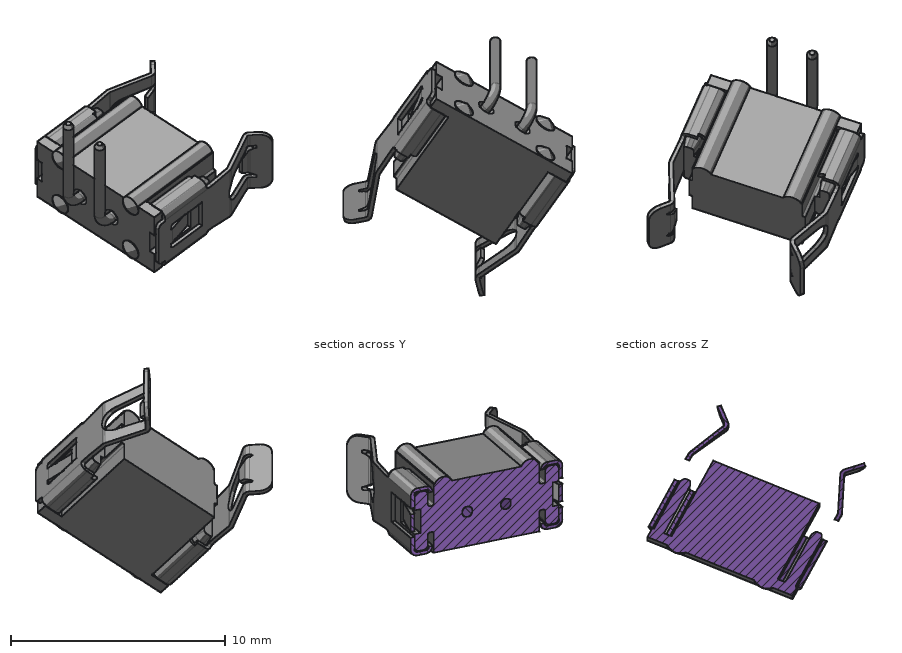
import cadquery as cq
import math


body_half_width = 2.75
body_depth = 5.1
body_height = 3.54
mid_z = body_height / 2
flange_half_width = 3.75
flange_depth = 0.55

rod_radius = 0.5
rod_x = 2.25
rod_z_low = rod_radius
rod_z_high = 3.33
rod_overhang = 0.04
nose_half_angle = 60.0
nose_length = rod_radius / math.tan(math.radians(nose_half_angle))

lug_inner = 3.03
lug_half_height = 1.52
lug_corner_radius = 0.255
lug_taper_start = 3.385
lug_end = 3.88
lug_taper_angle = 13.5
neck_half_height = 0.68
neck_fillet = 0.09
rail_outer = 2.9
pocket_depth = 0.31
pocket_half_height = 0.6
pocket_end = 2.48

pin_diameter = 0.5
pin_radius = pin_diameter / 2
pin_pitch = 2.0
pin_front = -1.05
pin_y = pin_front + pin_radius
pin_top = 7.05
pin_bend_radius = 0.75
pin_insertion = 2.55
pin_tip_length = 0.2
pin_tip_radius = pin_radius / 2
countersink_radius = 0.41
countersink_depth = countersink_radius - pin_radius

sheet = 0.2
clip_outer = flange_half_width + sheet
clip_front = 0.09
clip_back = 8.05
bend_radius = 0.4
front_tab_half_height = 1.27
front_tab_radius = 0.24
front_notch_radius = 0.06
wrap_half_height = 1.74
wrap_radius = 0.36
wrap_front = flange_depth
wrap_back = 3.385
curl_back = 3.185
wrap_notch_radius = 0.13
curl_u = 3.16

arm_angle = 22.5
flare_angle = 45.0
waist_y = 7.05
waist_outer = 3.11
waist_radius = 0.15
waist_half_height = 1.71
arm_root_y = 3.73
arm_root_half_height = 1.365
end_corner_radius = 0.6

opening_round_radius = 0.83
opening_round_y = 5.73
slot_end_y = 7.39
slot_end_outer = 1.03
slot_end_inner = 0.855
tongue_tip_y = 6.68
tongue_tip_half_height = 0.46

window_front = 0.94
window_back = 3.05
window_half_height = 0.755
window_corner_radius = 0.14
tang_tip_y = 2.41
tang_root_length = 0.07
tang_half_height = 0.455
tang_tip_inner = flange_half_width - pocket_depth


def section_plane(y):
    """Plane at depth y, drawn in (u, Z) and extruded toward +Y."""
    return cq.Workplane(cq.Plane(origin=(0, y, 0), xDir=(-1, 0, 0), normal=(0, 1, 0)))


def centred_block(u0, u1, y0, y1, half_height):
    """Box from u0 to u1 and y0 to y1, centred on mid_z."""
    return (
        cq.Workplane("XY")
        .box(u1 - u0, y1 - y0, 2 * half_height)
        .translate((-(u0 + u1) / 2, (y0 + y1) / 2, mid_z))
    )


def both_ends(shape):
    """A left-end shape and its mirror image on the right end."""
    return [shape, shape.mirror("YZ")]


def rod(x, z):
    """Round rod with a conical nose, turned about its own axis."""
    return (
        cq.Workplane("XY")
        .moveTo(0, body_depth)
        .lineTo(rod_radius, body_depth)
        .lineTo(rod_radius, -rod_overhang)
        .lineTo(0, -rod_overhang - nose_length)
        .close()
        .revolve(360, (0, 0), (0, 1))
        .translate((x, 0, z))
    )


def lug():
    """Rounded bar with a tapered back end."""
    width = flange_half_width - lug_inner
    centre_u = (flange_half_width + lug_inner) / 2

    def outline(y):
        bar = cq.Sketch().rect(width, 2 * lug_half_height).vertices().fillet(lug_corner_radius)
        return section_plane(y).center(centre_u, mid_z).placeSketch(bar)

    straight = outline(flange_depth).extrude(lug_taper_start - flange_depth)
    lead_in = outline(lug_taper_start).extrude(lug_end - lug_taper_start, taper=lug_taper_angle)
    return straight.union(lead_in)


def neck():
    """Web from the body to the lug, with rounded inside corners at both ends."""
    top = mid_z + neck_half_height
    low = mid_z - neck_half_height
    body_u = body_half_width
    lug_u = lug_inner
    r = neck_fillet
    return (
        section_plane(flange_depth)
        .moveTo(body_u, low - r)
        .lineTo(body_u, top + r)
        .radiusArc((body_u + r, top), -r)
        .lineTo(lug_u - r, top)
        .radiusArc((lug_u, top + r), -r)
        .lineTo(lug_u + lug_corner_radius, top + r)
        .lineTo(lug_u + lug_corner_radius, low - r)
        .lineTo(lug_u, low - r)
        .radiusArc((lug_u - r, low), -r)
        .lineTo(body_u + r, low)
        .radiusArc((body_u, low - r), -r)
        .close()
        .extrude(lug_end - flange_depth)
    )


def rail():
    """Low rail that carries the neck on to the back of the body."""
    top = mid_z + neck_half_height
    low = mid_z - neck_half_height
    r = neck_fillet
    return (
        section_plane(lug_end)
        .moveTo(body_half_width, low - r)
        .lineTo(body_half_width, top + r)
        .radiusArc((body_half_width + r, top), -r)
        .lineTo(rail_outer, top)
        .lineTo(rail_outer, low)
        .lineTo(body_half_width + r, low)
        .radiusArc((body_half_width, low - r), -r)
        .close()
        .extrude(body_depth - lug_end)
    )


def pin_hole(x):
    """Blind pin hole with a countersunk mouth."""
    return (
        cq.Workplane("XY")
        .lineTo(countersink_radius, 0)
        .lineTo(pin_radius, countersink_depth)
        .lineTo(pin_radius, pin_insertion)
        .lineTo(0, pin_insertion)
        .close()
        .revolve(360, (0, 0), (0, 1))
        .translate((x, 0, mid_z))
    )


def make_housing():
    body = centred_block(-body_half_width, body_half_width, 0, body_depth, mid_z)
    body = body.union(centred_block(-flange_half_width, flange_half_width, 0, flange_depth, mid_z))
    for x in (-rod_x, rod_x):
        for z in (rod_z_low, rod_z_high):
            body = body.union(rod(x, z))
    for feature in (lug(), neck(), rail()):
        for copy in both_ends(feature):
            body = body.union(copy)
    pocket = centred_block(
        flange_half_width - pocket_depth, flange_half_width, 0, pocket_end, pocket_half_height
    )
    for copy in both_ends(pocket):
        body = body.cut(copy)
    for x in pin_positions:
        body = body.cut(pin_hole(x))
    return body


def make_pin(x):
    """Round wire bent up through 90 degrees, with a tapered tip."""
    bend_y = pin_y + pin_bend_radius
    bend_z = mid_z + pin_bend_radius
    bend_offset = pin_bend_radius * math.sin(math.radians(45))
    path = (
        cq.Workplane("YZ")
        .moveTo(pin_insertion, mid_z)
        .lineTo(bend_y, mid_z)
        .threePointArc((bend_y - bend_offset, bend_z - bend_offset), (pin_y, bend_z))
        .lineTo(pin_y, pin_top - pin_tip_length)
    )
    wire = section_plane(pin_insertion).center(0, mid_z).circle(pin_radius).sweep(path)
    tip = (
        cq.Workplane("XY", origin=(0, pin_y, pin_top - pin_tip_length))
        .circle(pin_radius)
        .workplane(offset=pin_tip_length)
        .circle(pin_tip_radius)
        .loft()
    )
    return wire.union(tip).translate((x, 0, 0))


def clip_strip():
    """Side plate and arm as one bent strip of sheet, at full height."""

    def waist_point(radius, angle):
        """Point on the rounded waist; angle 0 faces the middle of the part."""
        turn = math.radians(angle)
        u = waist_outer + waist_radius - radius * math.cos(turn)
        return (-u, waist_y + radius * math.sin(turn))

    inner_radius = waist_radius + sheet
    middle_angle = (flare_angle - arm_angle) / 2
    arm_tan = math.tan(math.radians(arm_angle))
    arm_x, arm_y = waist_point(waist_radius, -arm_angle)
    flare_x, flare_start_y = waist_point(waist_radius, flare_angle)
    end_dx = sheet * math.cos(math.radians(flare_angle))
    end_dy = sheet * math.sin(math.radians(flare_angle))
    end_y = clip_back - end_dy
    end_x = flare_x - (end_y - flare_start_y) * math.tan(math.radians(flare_angle))
    outer_bend_y = arm_y - (clip_outer + arm_x) / arm_tan
    inner_bend_y = outer_bend_y - sheet * math.tan(math.radians(arm_angle / 2))
    strip = (
        cq.Workplane("XY")
        .moveTo(-clip_outer, clip_front)
        .lineTo(-clip_outer, outer_bend_y)
        .lineTo(arm_x, arm_y)
        .threePointArc(waist_point(waist_radius, middle_angle), (flare_x, flare_start_y))
        .lineTo(end_x, end_y)
        .lineTo(end_x + end_dx, clip_back)
        .lineTo(*waist_point(inner_radius, flare_angle))
        .threePointArc(
            waist_point(inner_radius, middle_angle), waist_point(inner_radius, -arm_angle)
        )
        .lineTo(-flange_half_width, inner_bend_y)
        .lineTo(-flange_half_width, clip_front)
        .close()
        .extrude(2 * waist_half_height)
        .translate((0, 0, mid_z - waist_half_height))
        .edges("|(1, 1, 0)")
        .fillet(end_corner_radius)
    )
    outer_bend = cq.selectors.NearestToPointSelector((-clip_outer, outer_bend_y, mid_z))
    inner_bend = cq.selectors.NearestToPointSelector((-flange_half_width, inner_bend_y, mid_z))
    return strip.edges(outer_bend).fillet(bend_radius).edges(inner_bend).fillet(bend_radius - sheet)


def side_prism(outline):
    """Prism across the left clip from an outline in (Y, height above mid_z)."""
    return outline.extrude(clip_outer).translate((-clip_outer, 0, mid_z))


def strip_outline():
    """Side outline of the strip: narrow at the housing, wider toward the free end."""
    outline = (
        cq.Workplane("YZ")
        .moveTo(arm_root_y, arm_root_half_height)
        .lineTo(waist_y, waist_half_height)
        .lineTo(clip_back, waist_half_height)
        .lineTo(clip_back, -waist_half_height)
        .lineTo(waist_y, -waist_half_height)
        .lineTo(arm_root_y, -arm_root_half_height)
        .close()
    )
    plate = centred_block(0, clip_outer, wrap_front, arm_root_y, arm_root_half_height)
    front_tab = centred_block(0, clip_outer, clip_front, wrap_front, front_tab_half_height)
    front_tab = front_tab.edges("|X and <Y").fillet(front_tab_radius)
    plate = plate.union(front_tab)
    for z in (mid_z - front_tab_half_height, mid_z + front_tab_half_height):
        notch = cq.selectors.NearestToPointSelector((-clip_outer / 2, wrap_front, z))
        plate = plate.edges("|X").edges(notch).fillet(front_notch_radius)
    return side_prism(outline).union(plate)


def tongue_half_height(y):
    """Half height of the tongue, which widens away from its tip."""
    slope = (slot_end_inner - tongue_tip_half_height) / (slot_end_y - tongue_tip_y)
    return tongue_tip_half_height + slope * (y - tongue_tip_y)


def arm_opening():
    """Opening between the arms, with a round root and two slots beside the tongue's base."""
    slope = math.atan2(waist_half_height - arm_root_half_height, waist_y - arm_root_y)
    round_y = opening_round_y - opening_round_radius * math.sin(slope)
    round_height = opening_round_radius * math.cos(slope)
    slot_radius = (slot_end_outer - slot_end_inner) / 2
    slot_y = slot_end_y - slot_radius
    slot_middle = slot_end_inner + slot_radius
    outline = (
        cq.Workplane("YZ")
        .moveTo(round_y, round_height)
        .lineTo(slot_y, slot_end_outer)
        .threePointArc((slot_end_y, slot_middle), (slot_y, slot_end_inner))
        .lineTo(waist_y, tongue_half_height(waist_y))
        .lineTo(waist_y, -tongue_half_height(waist_y))
        .lineTo(slot_y, -slot_end_inner)
        .threePointArc((slot_end_y, -slot_middle), (slot_y, -slot_end_outer))
        .lineTo(round_y, -round_height)
        .threePointArc((opening_round_y - opening_round_radius, 0), (round_y, round_height))
        .close()
    )
    return side_prism(outline)


def tongue():
    """Straight tongue that continues the waist toward the housing."""
    base_half_height = tongue_half_height(waist_y)
    return (
        cq.Workplane("YZ")
        .polyline([
            (tongue_tip_y, tongue_tip_half_height),
            (waist_y, base_half_height),
            (waist_y, -base_half_height),
            (tongue_tip_y, -tongue_tip_half_height),
        ])
        .close()
        .extrude(sheet)
        .translate((-waist_outer, 0, mid_z))
    )


def wrap():
    """Upper edge of the clip, folded over the lug and curled down behind it."""
    inner_radius = wrap_radius - sheet
    corner_u = clip_outer - wrap_radius
    corner_z = mid_z + wrap_half_height - wrap_radius
    top_z = corner_z + wrap_radius
    under_z = top_z - sheet
    fold = (
        section_plane(wrap_front)
        .moveTo(clip_outer, mid_z)
        .lineTo(clip_outer, corner_z)
        .radiusArc((corner_u, top_z), -wrap_radius)
        .lineTo(curl_u, top_z)
        .lineTo(curl_u, under_z)
        .lineTo(corner_u, under_z)
        .radiusArc((flange_half_width, corner_z), inner_radius)
        .lineTo(flange_half_width, mid_z)
        .close()
        .extrude(wrap_back - wrap_front)
    )
    curl = (
        section_plane(wrap_front)
        .moveTo(curl_u, top_z)
        .radiusArc((curl_u - wrap_radius, corner_z), -wrap_radius)
        .lineTo(curl_u - inner_radius, corner_z)
        .radiusArc((curl_u, under_z), inner_radius)
        .close()
        .extrude(curl_back - wrap_front)
    )
    return fold.union(curl)


def tang():
    """Barb bent inward from the front edge of the window, pointing back into the pocket."""
    tang_tip_outer = tang_tip_inner + sheet
    return (
        cq.Workplane("XY")
        .polyline([
            (-clip_outer, window_front),
            (-flange_half_width, window_front),
            (-tang_tip_inner, tang_tip_y),
            (-tang_tip_outer, tang_tip_y),
            (-clip_outer, window_front + tang_root_length),
        ])
        .close()
        .extrude(2 * tang_half_height)
        .translate((0, 0, mid_z - tang_half_height))
    )


def make_left_clip():
    upper_wrap = wrap()
    lower_wrap = upper_wrap.mirror("XY", (0, 0, mid_z))
    window = centred_block(
        flange_half_width, clip_outer, window_front, window_back, window_half_height
    )
    window = window.edges("|X and <Y").fillet(window_corner_radius)
    clip = clip_strip().intersect(strip_outline()).cut(arm_opening()).union(tongue())
    clip = clip.union(upper_wrap).union(lower_wrap)
    sheet_middle = (flange_half_width + clip_outer) / 2
    for z in (mid_z - arm_root_half_height, mid_z + arm_root_half_height):
        notch = cq.selectors.NearestToPointSelector((-sheet_middle, wrap_back, z))
        clip = clip.edges("|X").edges(notch).fillet(wrap_notch_radius)
    return clip.cut(window).union(tang())


pin_positions = (-pin_pitch / 2, pin_pitch / 2)
housing = make_housing()
pins = [make_pin(x) for x in pin_positions]
clips = both_ends(make_left_clip())

result = cq.Compound.makeCompound([
    housing.solids().val(),
    *[pin.solids().val() for pin in pins],
    *[clip.solids().val() for clip in clips],
])